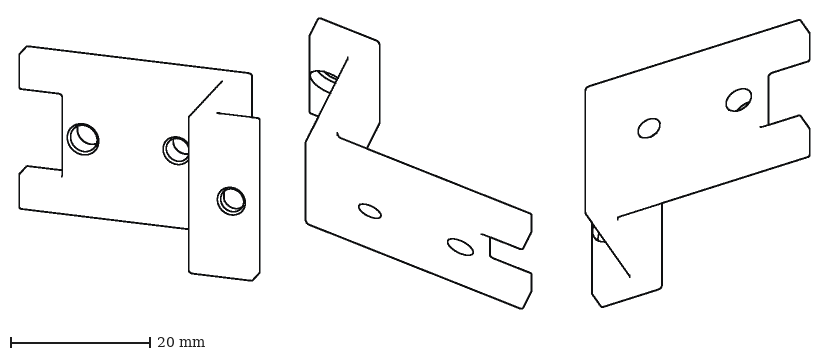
import cadquery as cq
length = 41.0
depth = 20.0
height = 24.0
thickness = 3.5
mid_height = height / 2

web_left = 31.0
web_right = web_left + thickness
plate_front = depth - thickness

bend_radius = 1.02
edge_radius = 0.35
notch_corner_radius = 0.5

notch_depth = 6.5
notch_height = 12.87

flange_hole_x = 37.75
holes = [
    (9.75, 4.0, plate_front),
    (24.0, 3.5, plate_front),
    (flange_hole_x, 3.5, 0),
]
hole_chamfer = 0.35

counterbore_diameter = 6.0
counterbore_start = 1.7

tolerance = 0.01
smooth_cosine = 0.9


class VerticalEdgesAt(cq.Selector):
    """Edges parallel to Z whose (x, y) position is one of the given points."""

    def __init__(self, *points):
        self.points = points

    def filter(self, edges):
        return [edge for edge in edges if self.matches(edge)]

    def matches(self, edge):
        if edge.geomType() != "LINE" or abs(edge.tangentAt(0).z) < 1 - tolerance:
            return False
        center = edge.Center()
        return any(
            abs(center.x - x) < tolerance and abs(center.y - y) < tolerance for x, y in self.points
        )


outer_bends = VerticalEdgesAt((web_left, 0), (web_right, depth))
inner_bends = VerticalEdgesAt((web_left, plate_front), (web_right, thickness))


def make_body():
    """Z-shaped profile extruded upwards, with its two outer bends rounded."""
    outline = [
        (0, plate_front),
        (web_left, plate_front),
        (web_left, 0),
        (length, 0),
        (length, thickness),
        (web_right, thickness),
        (web_right, depth),
        (0, depth),
    ]
    body = cq.Workplane("XY").polyline(outline).close().extrude(height)
    return body.edges(outer_bends).fillet(bend_radius)


def make_notch():
    """Block centred on the plate's free end, so half of it cuts the plate."""
    return (
        cq.Workplane("XY")
        .box(2 * notch_depth, 4 * thickness, notch_height)
        .translate((0, depth, mid_height))
        .edges("|Y and >X")
        .fillet(notch_corner_radius)
    )


def is_sharp(solid, edge):
    """True where the two faces beside the edge meet at a clear angle."""
    faces = [face for face in solid.Faces() if any(other.isSame(edge) for other in face.Edges())]
    if len(faces) != 2:
        return False
    middle = edge.positionAt(0.5)
    first, second = [face.normalAt(middle) for face in faces]
    return first.dot(second) < smooth_cosine


def round_edges(body):
    """Round every sharp outer edge, then fill the two inner bends."""
    solid = body.val()
    bends = inner_bends.filter(solid.Edges())
    outer_edges = [
        edge
        for edge in solid.Edges()
        if is_sharp(solid, edge) and not any(edge.isSame(bend) for bend in bends)
    ]
    rounded = cq.Workplane(obj=solid.fillet(edge_radius, outer_edges))
    return rounded.edges(inner_bends).fillet(bend_radius)


def circle_at(x, y, diameter):
    """Circle at mid height, facing +Y."""
    plane = cq.Plane((x, y, mid_height), (0, 0, -1), (0, 1, 0))
    return cq.Workplane(plane).circle(diameter / 2)


def make_hole(x, diameter, front):
    """Bore through one wall, with a chamfered front rim."""
    bore = circle_at(x, front, diameter).extrude(thickness)
    rim = (
        circle_at(x, front, diameter + 2 * hole_chamfer)
        .workplane(offset=hole_chamfer)
        .circle(diameter / 2)
        .loft()
    )
    return bore.union(rim)


def make_counterbore():
    """Wider cylinder reaching from inside the flange to its back face."""
    counterbore_depth = thickness - counterbore_start
    return circle_at(flange_hole_x, counterbore_start, counterbore_diameter).extrude(counterbore_depth)


result = round_edges(make_body().cut(make_notch()))
for hole_x, hole_diameter, hole_front in holes:
    result = result.cut(make_hole(hole_x, hole_diameter, hole_front))
result = result.cut(make_counterbore())